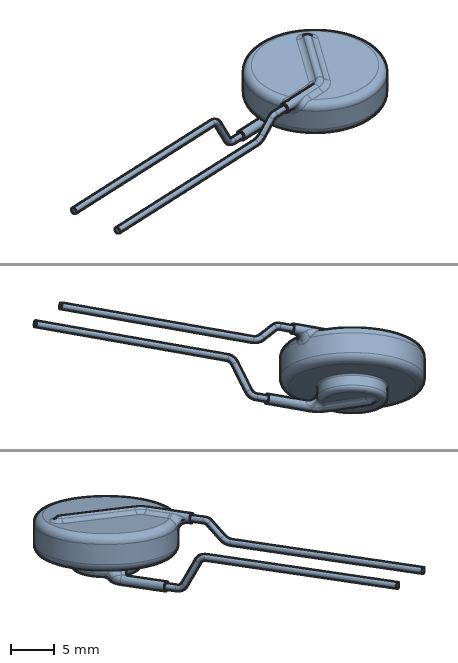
import cadquery as cq
import math

overall_length = 47.0
disc_diameter = 16.5
disc_height = 4.35
disc_edge_radius = 1.0

stub_radius = 4.0
stub_height = 1.97
stub_edge_radius = 0.6
stub_root_radius = 0.2

lead_offset = 3.25
sleeve_diameter = 1.18
sleeve_end_y = -9.25
ridge_corner_y = -2.8
ridge_bend_radius = 1.97
ridge_angle = 41.0
top_ridge_length = 9.95
bottom_ridge_length = 6.35
ridge_root_radius = 1.0

wire_diameter = 0.8
first_bend_y = -11.3
second_bend_y = -13.7
top_bend_radii = (0.9, 1.7)
bottom_bend_radii = (1.15, 1.15)

disc_radius = disc_diameter / 2
lead_end_y = disc_radius - overall_length
stub_bottom = -stub_height
lead_exit_z = disc_height / 2
sleeve_radius = sleeve_diameter / 2
wire_radius = wire_diameter / 2

seam_tolerance = 0.0005


def disc():
    plain = cq.Workplane("XY").circle(disc_radius).extrude(disc_height)
    return plain.edges().fillet(disc_edge_radius)


def stub():
    plain = cq.Workplane("XY").circle(stub_radius).extrude(stub_bottom)
    return plain.faces("<Z").edges().fillet(stub_edge_radius)


def along(start, end, distance):
    """Point at a distance from start towards end."""
    return start + (end - start).normalized() * distance


def rounded_path(corners, radii):
    """Wire through the corners, with an arc of the given radius at each inner one."""
    edges = []
    last = corners[0]
    for before, corner, after, radius in zip(corners, corners[1:], corners[2:], radii):
        back = (before - corner).normalized()
        ahead = (after - corner).normalized()
        half_angle = back.getAngle(ahead) / 2
        trim = radius / math.tan(half_angle)
        arc_start = along(corner, before, trim)
        arc_end = along(corner, after, trim)
        bisector = (back + ahead).normalized()
        arc_middle = corner + bisector * (radius / math.sin(half_angle) - radius)
        edges.append(cq.Edge.makeLine(last, arc_start))
        edges.append(cq.Edge.makeThreePointArc(arc_start, arc_middle, arc_end))
        last = arc_end
    edges.append(cq.Edge.makeLine(last, corners[-1]))
    return cq.Wire.assembleEdges(edges)


def round_bar(corners, radii, bar_radius):
    """Round bar that starts parallel to Y and follows a path with rounded corners."""
    start_plane = cq.Plane(origin=corners[0].toTuple(), normal=(0, -1, 0))
    section = cq.Workplane(start_plane).circle(bar_radius)
    return section.sweep(cq.Workplane(rounded_path(corners, radii)))


def ridge(side, z, length):
    """Sleeve from its open end to a bend, then slanting across the face to a round end."""
    x = side * lead_offset
    angle = math.radians(ridge_angle)
    corner = cq.Vector(x, ridge_corner_y, z)
    far_end = corner + cq.Vector(-side * math.cos(angle), math.sin(angle), 0) * length
    open_end = cq.Vector(x, sleeve_end_y, z)
    bar = round_bar([open_end, corner, far_end], [ridge_bend_radius], sleeve_radius)
    return bar.union(cq.Workplane("XY").sphere(sleeve_radius).translate(far_end.toTuple()))


def lead(side, z, bend_radii):
    """Bare wire from the sleeve's open end, bent to the common exit height."""
    x = side * lead_offset
    corners = [
        cq.Vector(x, sleeve_end_y, z),
        cq.Vector(x, first_bend_y, z),
        cq.Vector(x, second_bend_y, lead_exit_z),
        cq.Vector(x, lead_end_y, lead_exit_z),
    ]
    return round_bar(corners, bend_radii, wire_radius)


def add_with_fillet(base, addition, radius):
    """Join two shapes and round the concave seam between them."""
    joined = base.union(addition)
    seam = []
    for edge in joined.edges().vals():
        middle = cq.Vertex.makeVertex(*edge.positionAt(0.5).toTuple())
        gap = max(middle.distance(base.val()), middle.distance(addition.val()))
        if gap < seam_tolerance:
            seam.append(edge)
    return joined.newObject(seam).fillet(radius)


def coated_body():
    core = add_with_fillet(disc(), stub(), stub_root_radius)
    top_ridge = ridge(1, disc_height, top_ridge_length)
    bottom_ridge = ridge(-1, stub_bottom, bottom_ridge_length)
    with_top = add_with_fillet(core, top_ridge, ridge_root_radius)
    return add_with_fillet(with_top, bottom_ridge, ridge_root_radius)


body = coated_body()

leads = [
    lead(side, z, bend_radii)
    for side, z, bend_radii in (
        (1, disc_height, top_bend_radii),
        (-1, stub_bottom, bottom_bend_radii),
    )
]

result = cq.Compound.makeCompound([body.solids().val(), *[wire.val() for wire in leads]])